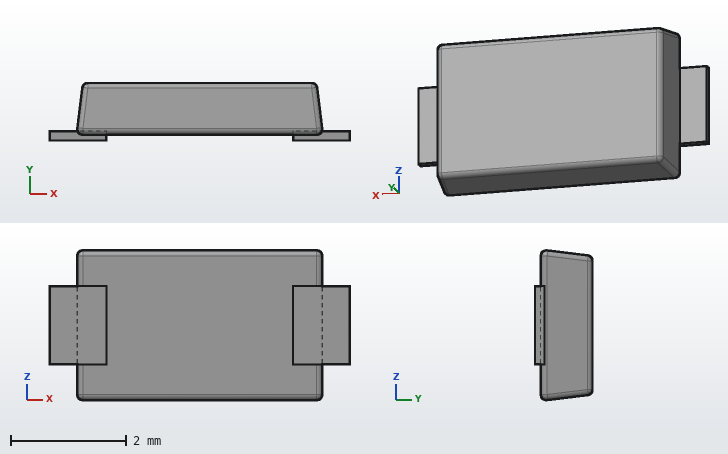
import cadquery as cq
import math


overall_length = 5.2
overall_height = 1.0

lead_length = 0.98
lead_width = 1.36
lead_thickness = 0.165

housing_length = 4.25
housing_width = 2.6
standoff = 0.1
draft_angle = 7.0
edge_radius = 0.1

housing_height = overall_height - standoff

draft = math.radians(draft_angle)
base_trim = edge_radius * ((1 + math.sin(draft)) / math.cos(draft) - 1)
base_length = housing_length + 2 * base_trim
base_width = housing_width + 2 * base_trim

lead_centre_x = (overall_length - lead_length) / 2
lead_sides = (-1, 1)


def make_lead(side):
    """Flat rectangular lead at the -X (side = -1) or +X (side = 1) end."""
    return cq.Workplane("XY").box(lead_length, lead_thickness, lead_width).translate(
        (side * lead_centre_x, lead_thickness / 2, 0)
    )


def make_housing(leads):
    """Drafted, rounded block with a shallow recess where each lead enters its base."""
    base_plane = cq.Plane(origin=(0, standoff, 0), xDir=(1, 0, 0), normal=(0, 1, 0))
    block = (
        cq.Workplane(base_plane)
        .rect(base_length, base_width)
        .extrude(housing_height, taper=draft_angle)
        .edges()
        .fillet(edge_radius)
    )
    for lead in leads:
        block = block.cut(lead)
    return block


leads = [make_lead(side) for side in lead_sides]
housing = make_housing(leads)

result = cq.Compound.makeCompound([housing.val(), *[lead.val() for lead in leads]])